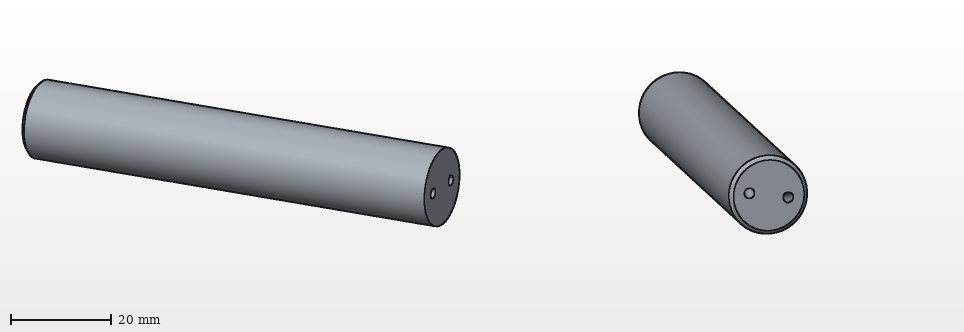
import cadquery as cq
import math

length = 90.0
diameter = 16.0
chamfer = 0.8

channel_count = 2
channel_diameter = 2.1
channel_circle_diameter = 8.0
channel_start_angle = 8.0
channel_pitch = 91.8

end_overrun = 0.9
channel_length = length + end_overrun
channel_twist = 360.0 * channel_length / channel_pitch


def make_rod():
    """Plain rod, chamfered at the X = 0 end."""
    rod = cq.Workplane("YZ").circle(diameter / 2).extrude(length)
    return rod.faces("<X").chamfer(chamfer)


def make_channel(angle):
    """Helical channel starting at the given angle in degrees."""
    radius = channel_circle_diameter / 2
    y = radius * math.cos(math.radians(angle))
    z = radius * math.sin(math.radians(angle))
    section = cq.Workplane("YZ").center(y, z).circle(channel_diameter / 2).wires().val()
    axis_start = cq.Vector(0, 0, 0)
    axis_vector = cq.Vector(channel_length, 0, 0)
    return cq.Solid.extrudeLinearWithRotation(section, [], axis_start, axis_vector, channel_twist)


result = make_rod()
for index in range(channel_count):
    channel_angle = channel_start_angle + index * 360.0 / channel_count
    result = result.cut(cq.Workplane(make_channel(channel_angle)))